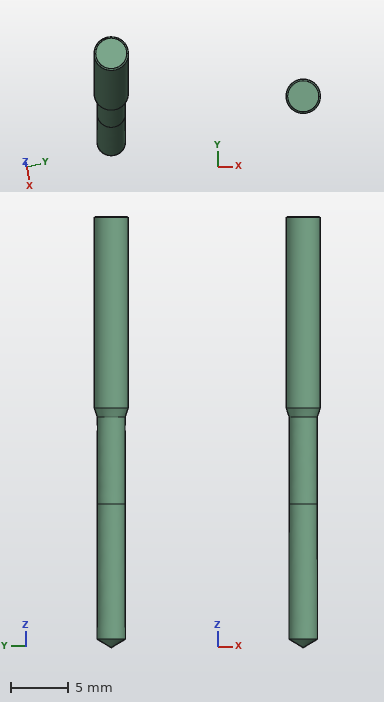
import cadquery as cq
import math

overall_length = 37.5
shank_diameter = 3.0
point_diameter = 2.5
point_angle = 118.0
cutting_length = 12.5
back_diameter = 2.47
shoulder_bottom = 20.07
shoulder_height = 0.81
end_chamfer_width = 0.15
end_chamfer_angle = 30.0

shank_radius = shank_diameter / 2
point_radius = point_diameter / 2
back_radius = back_diameter / 2
point_height = point_radius / math.tan(math.radians(point_angle / 2))
taper_slope = (point_radius - back_radius) / (cutting_length - point_height)
neck_top_radius = back_radius - taper_slope * (shoulder_bottom - cutting_length)
shoulder_top = shoulder_bottom + shoulder_height
end_chamfer_height = end_chamfer_width * math.tan(math.radians(end_chamfer_angle))


def revolve_about_z(profile):
    """Revolve a closed outline of (radius, height) points about the Z axis."""
    axis_start = (0, 0)
    axis_end = (0, 1)
    return cq.Workplane("XZ").polyline(profile).close().revolve(360, axis_start, axis_end)


def make_cutting_part():
    """Conical point below a body that narrows slightly towards the shank."""
    return revolve_about_z([
        (0, 0),
        (point_radius, point_height),
        (back_radius, cutting_length),
        (0, cutting_length),
    ])


def make_shank():
    """Neck that continues the back taper, conical shoulder and grip with a chamfered end."""
    return revolve_about_z([
        (0, cutting_length),
        (back_radius, cutting_length),
        (neck_top_radius, shoulder_bottom),
        (shank_radius, shoulder_top),
        (shank_radius, overall_length - end_chamfer_height),
        (shank_radius - end_chamfer_width, overall_length),
        (0, overall_length),
    ])


cutting_part = make_cutting_part()
shank = make_shank()

result = cq.Compound.makeCompound([cutting_part.val(), shank.val()])